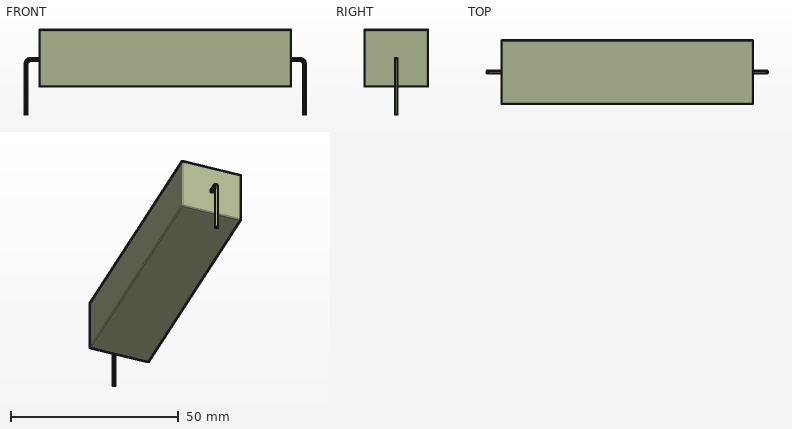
import cadquery as cq

body_length = 75.0
body_width = 19.0
body_height = 17.0
edge_radius = 0.3

overall_length = 83.8
lead_diameter = 0.8
lead_exit_height = 8.1
lead_drop = 8.3
bend_radius = 1.4
lead_embed = 0.8

lead_x = (overall_length - lead_diameter) / 2


def make_body():
    box = cq.Workplane("XY").box(
        body_length, body_width, body_height, centered=(True, True, False)
    )
    return box.edges().fillet(edge_radius)


def make_right_lead():
    """Round wire leaving the +X end face and bending down to its tip."""
    start_x = body_length / 2 - lead_embed
    path = (
        cq.Workplane("XZ")
        .moveTo(start_x, lead_exit_height)
        .lineTo(lead_x - bend_radius, lead_exit_height)
        .tangentArcPoint((lead_x, lead_exit_height - bend_radius), relative=False)
        .lineTo(lead_x, -lead_drop)
    )
    section = cq.Workplane("YZ", origin=(start_x, 0, lead_exit_height)).circle(lead_diameter / 2)
    return section.sweep(path)


right_lead = make_right_lead()
left_lead = right_lead.mirror("YZ")
result = make_body().union(right_lead).union(left_lead)